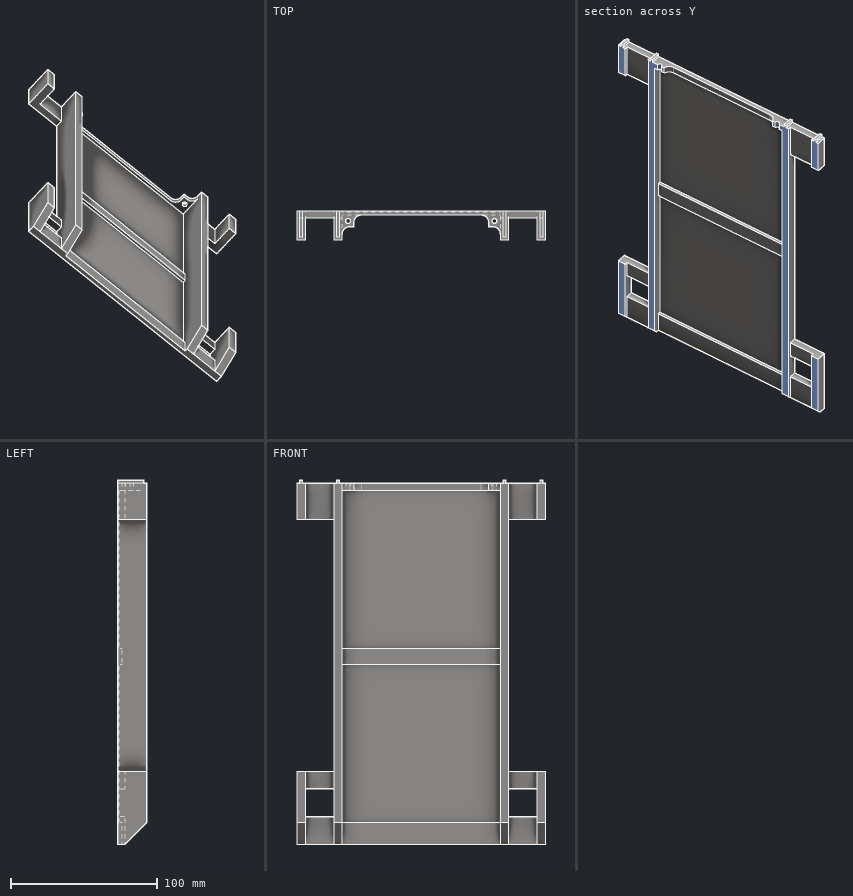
import cadquery as cq

WIDTH = 170.1
DEPTH = 20.0
TOTAL_HEIGHT = 249.0
TONGUE_HEIGHT = 2.0
BODY_HEIGHT = TOTAL_HEIGHT - TONGUE_HEIGHT

OPENING_WIDTH = 108.0
RAIL_WIDTH = 5.8
RAIL_OUTER_X = OPENING_WIDTH / 2 + RAIL_WIDTH
RAIL_CENTER_X = (OPENING_WIDTH + RAIL_WIDTH) / 2
PANEL_THICKNESS = 1.0
BAR_THICKNESS = 3.0
FOOT_BAR_HEIGHT = 15.0
MIDDLE_BAR_BOTTOM = 123.0
MIDDLE_BAR_HEIGHT = 11.0

FLANGE_HEIGHT = 5.0
CORNER_RADIUS = 5.0
CORNER_BLOCK_SIZE = 8.0
CORNER_BLOCK_DEPTH = BAR_THICKNESS + CORNER_BLOCK_SIZE
SCREW_DIAMETER = 3.2
SCREW_X = (OPENING_WIDTH - CORNER_BLOCK_SIZE) / 2
SCREW_DEPTH = BAR_THICKNESS + CORNER_BLOCK_SIZE / 2

LEG_WIDTH = 6.0
LEG_INNER_X = WIDTH / 2 - LEG_WIDTH
LEG_CENTER_X = (WIDTH - LEG_WIDTH) / 2
UPPER_WING_HEIGHT = 25.0
LOWER_WING_HEIGHT = 50.0
BRIDGE_THICKNESS = 5.0
WINDOW_BOTTOM = 19.0
WINDOW_TOP = 38.0

FOOT_CHAMFER = 15.0

TONGUE_DEPTH = 18.0
TONGUE_WIDTH = 2.0

SIDES = (-1, 1)


def block(x_start, x_end, depth, z_start, z_end):
    """Box between two X and two Z values, reaching forward from the back face."""
    x_low = min(x_start, x_end)
    return (
        cq.Workplane("XY", origin=(x_low, -depth, z_start))
        .box(abs(x_end - x_start), depth, z_end - z_start, centered=False)
    )


def full_width_strip(thickness, z_start, z_end):
    """Strip spanning from the middle of one rail to the middle of the other."""
    return block(-RAIL_CENTER_X, RAIL_CENTER_X, thickness, z_start, z_end)


def make_tray():
    tray = full_width_strip(PANEL_THICKNESS, 0, BODY_HEIGHT)
    middle_bar_top = MIDDLE_BAR_BOTTOM + MIDDLE_BAR_HEIGHT
    tray = tray.union(full_width_strip(BAR_THICKNESS, 0, FOOT_BAR_HEIGHT))
    tray = tray.union(full_width_strip(BAR_THICKNESS, MIDDLE_BAR_BOTTOM, middle_bar_top))
    flange_bottom = BODY_HEIGHT - FLANGE_HEIGHT
    tray = tray.union(full_width_strip(BAR_THICKNESS, flange_bottom, BODY_HEIGHT))
    for side in SIDES:
        rail = block(side * OPENING_WIDTH / 2, side * RAIL_OUTER_X, DEPTH, 0, BODY_HEIGHT)
        tray = tray.union(rail)
    return tray


def make_corner_block(side):
    """Corner of the top flange: a square block with a concave fillet at each end."""
    wall_x = OPENING_WIDTH / 2
    step_x = wall_x - CORNER_BLOCK_SIZE
    outline = (
        cq.Workplane("XY", origin=(0, 0, BODY_HEIGHT - FLANGE_HEIGHT))
        .moveTo(side * wall_x, 0)
        .lineTo(side * (step_x - CORNER_RADIUS), 0)
        .lineTo(side * (step_x - CORNER_RADIUS), -BAR_THICKNESS)
        .radiusArc((side * step_x, -BAR_THICKNESS - CORNER_RADIUS), side * CORNER_RADIUS)
        .lineTo(side * step_x, -CORNER_BLOCK_DEPTH)
        .lineTo(side * (wall_x - CORNER_RADIUS), -CORNER_BLOCK_DEPTH)
        .radiusArc((side * wall_x, -CORNER_BLOCK_DEPTH - CORNER_RADIUS), side * CORNER_RADIUS)
        .close()
    )
    screw_hole = (
        cq.Workplane("XY", origin=(side * SCREW_X, -SCREW_DEPTH, BODY_HEIGHT - FLANGE_HEIGHT))
        .circle(SCREW_DIAMETER / 2)
        .extrude(FLANGE_HEIGHT)
    )
    return outline.extrude(FLANGE_HEIGHT).cut(screw_hole)


def make_wings(side):
    """Upper wing and windowed lower wing on one side of the tray."""
    rail_x = side * RAIL_OUTER_X
    leg_x = side * LEG_INNER_X
    outer_x = side * WIDTH / 2
    upper_bottom = BODY_HEIGHT - UPPER_WING_HEIGHT
    wings = block(rail_x, outer_x, BRIDGE_THICKNESS, upper_bottom, BODY_HEIGHT)
    wings = wings.union(block(leg_x, outer_x, DEPTH, upper_bottom, BODY_HEIGHT))
    wings = wings.union(block(rail_x, outer_x, BRIDGE_THICKNESS, 0, LOWER_WING_HEIGHT))
    wings = wings.union(block(leg_x, outer_x, DEPTH, 0, LOWER_WING_HEIGHT))
    return wings.cut(block(rail_x, leg_x, BRIDGE_THICKNESS, WINDOW_BOTTOM, WINDOW_TOP))


def make_tongue(center_x):
    half_width = TONGUE_WIDTH / 2
    return block(center_x - half_width, center_x + half_width, TONGUE_DEPTH, BODY_HEIGHT, TOTAL_HEIGHT)


def make_foot_cutter():
    """Triangular prism that slopes the front of every foot."""
    return (
        cq.Workplane("YZ", origin=(-WIDTH / 2, 0, 0))
        .moveTo(-DEPTH, 0)
        .lineTo(-DEPTH + FOOT_CHAMFER, 0)
        .lineTo(-DEPTH, FOOT_CHAMFER)
        .close()
        .extrude(WIDTH)
    )


part = make_tray()
for side in SIDES:
    part = part.union(make_corner_block(side))
    part = part.union(make_wings(side))
    part = part.union(make_tongue(side * RAIL_CENTER_X))
    part = part.union(make_tongue(side * LEG_CENTER_X))

result = part.cut(make_foot_cutter())